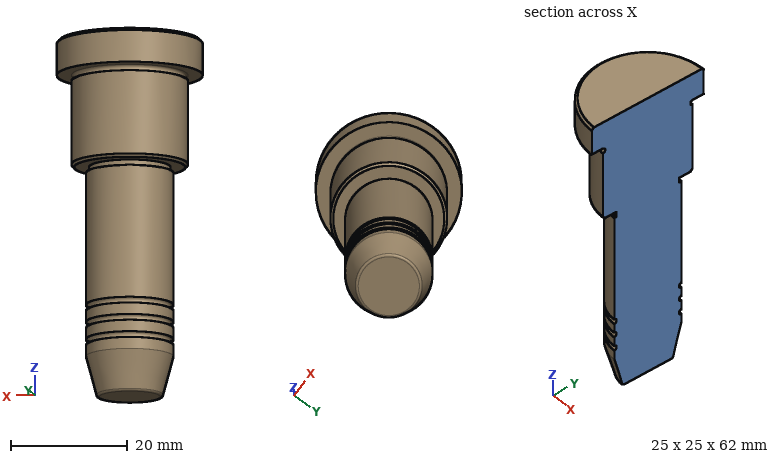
import cadquery as cq
import math

total_length = 62.0

head_diameter = 25.0
head_height = 6.0
head_chamfer = 0.5

shoulder_diameter = 20.0
shoulder_end_depth = 22.0
shoulder_chamfer = 0.5

shank_diameter = 15.0
neck_diameter = 14.0
neck_height = 1.0

tip_height = 7.0
tip_half_angle = 15.0
tip_fillet = 0.5

groove_radius = 0.5
groove_count = 3
groove_pitch = 3.0
land_height = 2.0

head_bottom_z = total_length - head_height
shoulder_bottom_z = total_length - shoulder_end_depth
tip_radius = shank_diameter / 2 - tip_height * math.tan(math.radians(tip_half_angle))


def cylinder(diameter, bottom_z, top_z):
    return cq.Workplane("XY").workplane(offset=bottom_z).circle(diameter / 2).extrude(top_z - bottom_z)


def head():
    return cylinder(head_diameter, head_bottom_z, total_length).faces(">Z").chamfer(head_chamfer)


def shoulder():
    body = cylinder(shoulder_diameter, shoulder_bottom_z, head_bottom_z)
    return body.faces("<Z").chamfer(shoulder_chamfer)


def shank():
    neck_bottom_z = shoulder_bottom_z - neck_height
    neck = cylinder(neck_diameter, neck_bottom_z, shoulder_bottom_z)
    return cylinder(shank_diameter, tip_height, neck_bottom_z).union(neck)


def tip():
    cone = cq.Solid.makeCone(tip_radius, shank_diameter / 2, tip_height)
    return cq.Workplane(obj=cone).faces("<Z").fillet(tip_fillet)


def ring_groove(surface_diameter, center_z):
    """Torus that cuts a half-round groove around a cylinder of the given diameter."""
    ring = cq.Solid.makeTorus(surface_diameter / 2, groove_radius, cq.Vector(0, 0, center_z))
    return cq.Workplane(obj=ring)


undercut = ring_groove(shoulder_diameter, head_bottom_z - groove_radius)
result = shoulder().cut(undercut).union(head()).union(shank()).union(tip())

for index in range(groove_count):
    groove_z = tip_height + land_height + groove_radius + index * groove_pitch
    result = result.cut(ring_groove(shank_diameter, groove_z))